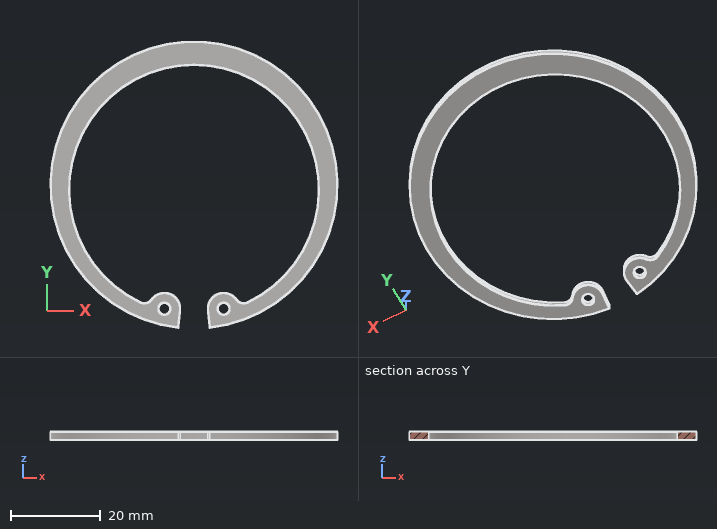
import cadquery as cq
import math

THICKNESS = 2.0
OUTER_RADIUS = 32.0
BORE_RADIUS = 27.7
BORE_OFFSET = 1.0
LUG_X = 6.6
LUG_Y = -27.5
LUG_RADIUS = 3.6
HOLE_DIAMETER = 2.5
NECK_RADIUS = 1.9
EDGE_CHAMFER = 0.16

lug_distance = math.hypot(LUG_X, LUG_Y)
end_angle = math.atan2(LUG_X, -LUG_Y) - math.asin(LUG_RADIUS / lug_distance)
tangent_distance = math.sqrt(lug_distance**2 - LUG_RADIUS**2)


def end_point(distance, side):
    """Point on one end face, at a distance from the outer centre."""
    return (side * distance * math.sin(end_angle), -distance * math.cos(end_angle))


def open_ring():
    ring = cq.Workplane("XY").circle(OUTER_RADIUS).extrude(THICKNESS)
    bore = cq.Workplane("XY").center(0, -BORE_OFFSET).circle(BORE_RADIUS).extrude(THICKNESS)
    cut_reach = 2 * OUTER_RADIUS
    gap = (
        cq.Workplane("XY")
        .polyline([(0, 0), end_point(cut_reach, -1), end_point(cut_reach, 1)])
        .close()
        .extrude(THICKNESS)
    )
    return ring.cut(bore).cut(gap)


def lug(side):
    """Round lug, filled out to the straight end face below its tangent point."""
    center = (side * LUG_X, LUG_Y)
    pad = cq.Workplane("XY").center(*center).circle(LUG_RADIUS).extrude(THICKNESS)
    filler = (
        cq.Workplane("XY")
        .polyline([center, end_point(tangent_distance, side), end_point(OUTER_RADIUS, side)])
        .close()
        .extrude(THICKNESS)
    )
    return pad.union(filler)


def neck_point(side):
    """Corner where the lug circle meets the bore circle."""
    lug_dy = LUG_Y + BORE_OFFSET
    spacing = math.hypot(LUG_X, lug_dy)
    along = (spacing**2 + BORE_RADIUS**2 - LUG_RADIUS**2) / (2 * spacing)
    across = math.sqrt(BORE_RADIUS**2 - along**2)
    x = (along * LUG_X - across * lug_dy) / spacing
    y = (along * lug_dy + across * LUG_X) / spacing - BORE_OFFSET
    return (side * x, y, THICKNESS / 2)


body = open_ring()
for side in (-1, 1):
    body = body.union(lug(side))
body = body.clean()
for side in (-1, 1):
    neck = cq.selectors.NearestToPointSelector(neck_point(side))
    body = body.edges("|Z").edges(neck).fillet(NECK_RADIUS)

holes = (
    cq.Workplane("XY")
    .pushPoints([(-LUG_X, LUG_Y), (LUG_X, LUG_Y)])
    .circle(HOLE_DIAMETER / 2)
    .extrude(THICKNESS)
)
result = body.cut(holes).faces("<Z or >Z").edges().chamfer(EDGE_CHAMFER)